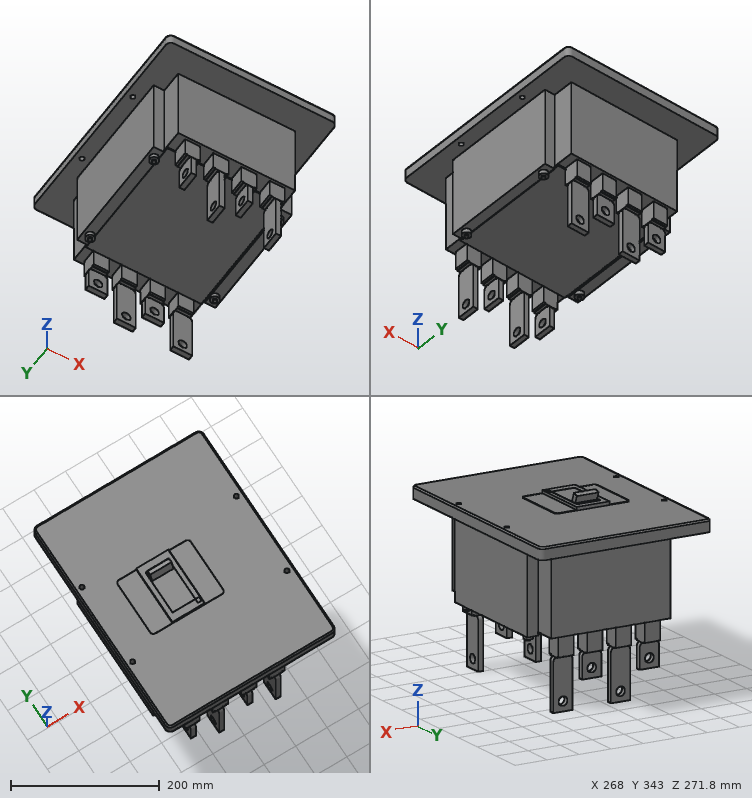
import cadquery as cq
import math

PLATE_X = 268.0
PLATE_Y = 343.0
PLATE_THICKNESS = 18.2
PLATE_CORNER_RADIUS = 8.0
PLATE_CHAMFER = 2.5
SCREW_HOLE_DIAMETER = 7.0
SCREW_HOLE_SPACING_X = 245.5
SCREW_HOLE_SPACING_Y = 127.3

NECK_X = 116.0
NECK_Y = 91.2
NECK_CENTER_X = -22.3
NECK_CORNER_RADIUS = 5.0
NECK_TOP = PLATE_THICKNESS + 1.0
SWITCH_PLATE_X = 51.5
SWITCH_PLATE_TOP = PLATE_THICKNESS + 5.0
WINDOW_X = 36.5
WINDOW_Y = 68.0
WINDOW_DEPTH = 0.5
WINDOW_FLOOR = SWITCH_PLATE_TOP - WINDOW_DEPTH
BUTTON_RECESS_X = 6.0
BUTTON_RECESS_Y = 6.5
BUTTON_RECESS_DEPTH = 0.5

LEVER_WIDTH = 34.0
LEVER_THICKNESS = 8.2
LEVER_ANGLE = 20.0
LEVER_FOOT_Y = 19.0
LEVER_TOP = 36.5
LEVER_ROOT = 5.0

CASE_X = 220.2
SIDE_BLOCK_Y = 191.5
SIDE_BLOCK_HEIGHT = 130.7
END_BLOCK_X = 186.2
END_BLOCK_Y = 261.0
END_BLOCK_HEIGHT = 126.0
SIDE_BLOCK_X = (CASE_X - END_BLOCK_X) / 2
BASE_PAD_X = 184.5
BASE_PAD_Y = 203.7
BASE_PAD_HEIGHT = 128.3

NUT_DIAMETER = 13.5
NUT_HEIGHT = 6.5
STUD_DIAMETER = 6.0
STUD_LENGTH = 2.7
NUT_SPACING_X = 199.0
NUT_SPACING_Y = 160.2

TERMINAL_PITCH = 45.0
TERMINAL_ROW_Y = 114.2
TERMINAL_BLOCK_SIZE = 24.5
TERMINAL_BLOCK_BOTTOM = -155.7
COLLAR_WIDTH = TERMINAL_BLOCK_SIZE
COLLAR_THICKNESS = 17.5
COLLAR_HEIGHT = 1.5
BLADE_WIDTH = 30.2
BLADE_THICKNESS = 8.2
BLADE_SHOULDER_RADIUS = 6.5
BLADE_HOLE_DIAMETER = 13.5
BLADE_HOLE_TO_END = 14.7
BLADE_TOP = TERMINAL_BLOCK_BOTTOM - COLLAR_HEIGHT
SHORT_BLADE_BOTTOM = -195.0
LONG_BLADE_BOTTOM = -235.3
ROW_BLADE_BOTTOMS = [SHORT_BLADE_BOTTOM, LONG_BLADE_BOTTOM, SHORT_BLADE_BOTTOM, LONG_BLADE_BOTTOM]


def box(size_x, size_y, bottom, top, center=(0, 0)):
    """Upright box between two heights."""
    return (
        cq.Workplane("XY", origin=(center[0], center[1], bottom))
        .rect(size_x, size_y)
        .extrude(top - bottom)
    )


def neck(top):
    """Round-cornered block over the plate opening, from Z = 0 up to the given height."""
    return box(NECK_X, NECK_Y, 0, top, (NECK_CENTER_X, 0)).edges("|Z").fillet(NECK_CORNER_RADIUS)


def make_cover_plate():
    plate = box(PLATE_X, PLATE_Y, 0, PLATE_THICKNESS)
    plate = plate.edges("|Z").fillet(PLATE_CORNER_RADIUS)
    plate = plate.faces(">Z").edges().chamfer(PLATE_CHAMFER)
    screw_holes = (
        cq.Workplane("XY")
        .rarray(SCREW_HOLE_SPACING_X, SCREW_HOLE_SPACING_Y, 2, 2)
        .circle(SCREW_HOLE_DIAMETER / 2)
        .extrude(PLATE_THICKNESS)
    )
    return plate.cut(screw_holes).cut(neck(PLATE_THICKNESS))


def make_case():
    """Long middle block with a shallow base pad below it and a deeper block along each X side."""
    case = box(END_BLOCK_X, END_BLOCK_Y, -END_BLOCK_HEIGHT, 0)
    base_pad = box(BASE_PAD_X, BASE_PAD_Y, -BASE_PAD_HEIGHT, 0)
    case = case.union(base_pad)
    for side in (-1, 1):
        side_x = side * (CASE_X - SIDE_BLOCK_X) / 2
        case = case.union(box(SIDE_BLOCK_X, SIDE_BLOCK_Y, -SIDE_BLOCK_HEIGHT, 0, (side_x, 0)))
    return case


def make_switch_plate():
    """Raised strip across the neck, with the lever window and a small button recess."""
    strip = box(SWITCH_PLATE_X, NECK_Y, 0, SWITCH_PLATE_TOP, (NECK_CENTER_X, 0))
    window = box(WINDOW_X, WINDOW_Y, WINDOW_FLOOR, SWITCH_PLATE_TOP, (NECK_CENTER_X, 0))
    recess_center = (
        NECK_CENTER_X + (WINDOW_X + BUTTON_RECESS_X) / 2,
        -(WINDOW_Y + BUTTON_RECESS_Y) / 2,
    )
    recess_floor = SWITCH_PLATE_TOP - BUTTON_RECESS_DEPTH
    recess = box(BUTTON_RECESS_X, BUTTON_RECESS_Y, recess_floor, SWITCH_PLATE_TOP, recess_center)
    return strip.cut(window).cut(recess)


def make_lever():
    """Bar standing in the window, tilted about the line where its -Y face meets the floor."""
    angle = math.radians(LEVER_ANGLE)
    length = (LEVER_TOP - WINDOW_FLOOR) / math.cos(angle)
    bar = (
        cq.Workplane("XY")
        .box(LEVER_WIDTH, LEVER_THICKNESS, length + LEVER_ROOT, centered=(True, False, False))
        .translate((0, 0, -LEVER_ROOT))
    )
    bar = bar.rotate((0, 0, 0), (1, 0, 0), -LEVER_ANGLE)
    return bar.translate((NECK_CENTER_X, LEVER_FOOT_Y, WINDOW_FLOOR))


def make_nuts():
    nut_bottom = -SIDE_BLOCK_HEIGHT - NUT_HEIGHT
    nuts = (
        cq.Workplane("XY", origin=(0, 0, nut_bottom))
        .rarray(NUT_SPACING_X, NUT_SPACING_Y, 2, 2)
        .circle(NUT_DIAMETER / 2)
        .extrude(NUT_HEIGHT)
    )
    studs = (
        cq.Workplane("XY", origin=(0, 0, nut_bottom - STUD_LENGTH))
        .rarray(NUT_SPACING_X, NUT_SPACING_Y, 2, 2)
        .circle(STUD_DIAMETER / 2)
        .extrude(STUD_LENGTH)
    )
    return nuts.union(studs)


def make_terminal(blade_bottom):
    """Terminal on the Z axis whose blade is wide along X and thin along Y."""
    block = box(TERMINAL_BLOCK_SIZE, TERMINAL_BLOCK_SIZE, TERMINAL_BLOCK_BOTTOM, -END_BLOCK_HEIGHT)
    collar = box(COLLAR_WIDTH, COLLAR_THICKNESS, BLADE_TOP, TERMINAL_BLOCK_BOTTOM)
    blade = box(BLADE_WIDTH, BLADE_THICKNESS, blade_bottom, BLADE_TOP)
    blade = blade.faces(">Z").edges("|Y").fillet(BLADE_SHOULDER_RADIUS)
    hole = (
        cq.Workplane("XZ")
        .center(0, blade_bottom + BLADE_HOLE_TO_END)
        .circle(BLADE_HOLE_DIAMETER / 2)
        .extrude(BLADE_THICKNESS, both=True)
    )
    return block.union(collar).union(blade.cut(hole))


def make_breaker():
    breaker = make_case().union(neck(NECK_TOP)).union(make_switch_plate())
    breaker = breaker.union(make_lever()).union(make_nuts())
    for index, blade_bottom in enumerate(ROW_BLADE_BOTTOMS):
        x = (index - (len(ROW_BLADE_BOTTOMS) - 1) / 2) * TERMINAL_PITCH
        terminal = make_terminal(blade_bottom)
        breaker = breaker.union(terminal.translate((x, TERMINAL_ROW_Y, 0)))
        turned = terminal.rotate((0, 0, 0), (0, 0, 1), 90)
        breaker = breaker.union(turned.translate((x, -TERMINAL_ROW_Y, 0)))
    return breaker


cover_plate = make_cover_plate()
breaker = make_breaker()

result = cq.Compound.makeCompound([cover_plate.val(), *breaker.vals()])